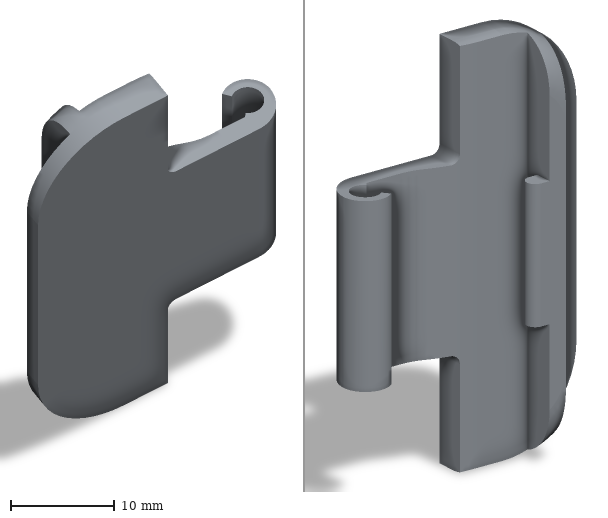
import cadquery as cq
import math


plate_height = 45.0
plate_width = 15.0
plate_corner_radius = 10.0
rim_thickness = 2.0
body_thickness = 3.5
total_depth = 7.15
front_edge_radius = 5.0
lip_start_y = 5.0
lip_thickness = 2.0
lip_end_y = lip_start_y + lip_thickness

catch_length = 15.0
catch_thickness = 2.0
catch_reach = 2.0

arm_height = 20.0
arm_thickness = 2.0
arm_root_radius = 1.0
ramp_start_y = 13.0
ramp_end_y = 21.0
ramp_bend_y = 18.6

total_width = 29.14
hook_inner_radius = 1.6
hook_center_x = -(arm_thickness + hook_inner_radius)
hook_wall = 1.0
hook_outer_radius = hook_inner_radius + hook_wall
hook_center_y = total_width - hook_outer_radius
hook_mouth_angle = 40.0

middle_z = plate_height / 2


def hook_point(radius, angle):
    """Point on a circle about the hook center, angle in degrees from +X."""
    turn = math.radians(angle)
    return (hook_center_x + radius * math.cos(turn), hook_center_y + radius * math.sin(turn))


def make_profile():
    """Full-height section in XY: rim, lip, body, S-shaped ramp, arm and hook."""
    ramp_bend_share = (ramp_bend_y - ramp_start_y) / (ramp_end_y - ramp_start_y)
    ramp_bend_x = -body_thickness + ramp_bend_share * (body_thickness - arm_thickness)

    mouth_right = -hook_mouth_angle
    mouth_left = 180 + hook_mouth_angle
    mouth_corner_y = hook_center_y - hook_inner_radius * math.tan(math.radians(hook_mouth_angle))

    back_radius = -hook_center_x
    back_center_y = total_width - back_radius
    back_middle = (
        hook_center_x + back_radius * math.cos(math.pi / 4),
        back_center_y + back_radius * math.sin(math.pi / 4),
    )

    return (
        cq.Workplane("XY")
        .moveTo(0, 0)
        .lineTo(-rim_thickness, 0)
        .lineTo(-rim_thickness, lip_start_y)
        .lineTo(-total_depth, lip_start_y)
        .lineTo(-total_depth, lip_end_y)
        .lineTo(-body_thickness, lip_end_y)
        .lineTo(-body_thickness, ramp_start_y)
        .tangentArcPoint((ramp_bend_x, ramp_bend_y), relative=False)
        .tangentArcPoint((-arm_thickness, ramp_end_y), relative=False)
        .lineTo(-arm_thickness, mouth_corner_y)
        .lineTo(*hook_point(hook_inner_radius, mouth_right))
        .threePointArc(hook_point(hook_inner_radius, 90), hook_point(hook_inner_radius, mouth_left))
        .lineTo(*hook_point(hook_outer_radius, mouth_left))
        .threePointArc(hook_point(hook_outer_radius, 180), hook_point(hook_outer_radius, 90))
        .threePointArc(back_middle, (0, back_center_y))
        .close()
        .extrude(plate_height)
    )


def make_plate_envelope():
    """Block with two round corners and a rolled front edge that bounds plate and lip."""
    block = cq.Workplane("XY").box(total_depth, plate_width, plate_height, centered=False)
    block = block.translate((-total_depth, 0, 0))
    block = block.edges("|X and <Y").fillet(plate_corner_radius)
    return block.faces("<X").edges("not >Y").fillet(front_edge_radius)


def make_arm_envelope():
    """Band that bounds the arm and hook, flared by a small round where it leaves the plate."""
    half_height = arm_height / 2
    flare_half_height = half_height + arm_root_radius
    flare_end_y = plate_width + arm_root_radius
    return (
        cq.Workplane("YZ")
        .moveTo(plate_width, middle_z - flare_half_height)
        .radiusArc((flare_end_y, middle_z - half_height), arm_root_radius)
        .lineTo(total_width, middle_z - half_height)
        .lineTo(total_width, middle_z + half_height)
        .lineTo(flare_end_y, middle_z + half_height)
        .radiusArc((plate_width, middle_z + flare_half_height), arm_root_radius)
        .close()
        .extrude(-total_depth)
    )


def make_catch():
    """Round-nosed bar on the lip, pointing towards the hook."""
    nose_radius = catch_thickness / 2
    nose_y = lip_end_y + catch_reach - nose_radius
    inner_x = -total_depth + catch_thickness
    return (
        cq.Workplane("XY")
        .workplane(offset=middle_z - catch_length / 2)
        .moveTo(-total_depth, lip_start_y)
        .lineTo(-total_depth, nose_y)
        .threePointArc((-total_depth + nose_radius, nose_y + nose_radius), (inner_x, nose_y))
        .lineTo(inner_x, lip_start_y)
        .close()
        .extrude(catch_length)
    )


profile = make_profile()
plate = profile.intersect(make_plate_envelope())
arm = profile.intersect(make_arm_envelope())
result = plate.union(arm).union(make_catch())